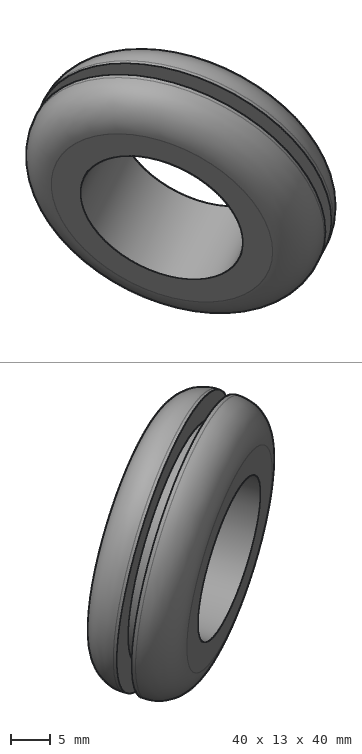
import cadquery as cq

outer_diameter = 40.0
groove_diameter = 32.0
bore_diameter = 22.0
width = 13.0
groove_width = 2.0
rim_radius = 5.0


def cylinder(diameter, length):
    """Cylinder along Y, centred on the origin."""
    return cq.Workplane("XZ", origin=(0, length / 2, 0)).circle(diameter / 2).extrude(length)


body = cylinder(outer_diameter, width).faces("<Y or >Y").edges().fillet(rim_radius)

groove = cylinder(outer_diameter, groove_width).cut(cylinder(groove_diameter, groove_width))

bore = cylinder(bore_diameter, width)

result = body.cut(groove).cut(bore)